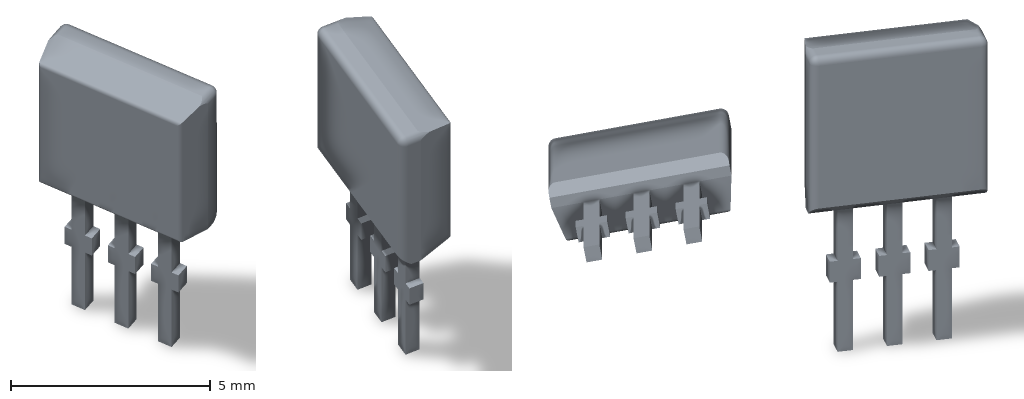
import cadquery as cq
import math

total_height = 8.71
body_width = 4.58
body_height = 4.53
body_depth = 1.55
rear_depth = 0.57
front_depth = body_depth - rear_depth
draft_angle = 12.0
front_edge_radius = 0.105
corner_radius = 0.2
bottom_bevel_depth = 0.3
bottom_bevel_height = 0.27

lead_count = 3
lead_pitch = 1.27
lead_thickness = 0.4
shoulder_width = 0.8
shoulder_bottom = 1.995
shoulder_height = 0.59

body_bottom = total_height - body_height
body_middle = total_height - body_height / 2
lead_top = body_bottom + 2 * lead_thickness * math.tan(math.radians(draft_angle))


def box(width, depth, height, x_center, y_min, z_min):
    """Box centred on x_center that starts at y_min and z_min."""
    return cq.Workplane("XY").box(width, depth, height, centered=(True, False, False)).translate(
        (x_center, y_min, z_min)
    )


def rear_half():
    """Straight-sided half with rounded top corners and a rounded rear rim."""
    half = box(body_width, rear_depth, body_height, 0, 0, body_bottom)
    half = half.edges("|Y and >Z").fillet(corner_radius)
    half = half.faces(">Y").edges("not <Z").fillet(corner_radius)
    bevel = (
        cq.Workplane("YZ")
        .moveTo(rear_depth, body_bottom)
        .lineTo(rear_depth - bottom_bevel_depth, body_bottom)
        .lineTo(rear_depth, body_bottom + bottom_bevel_height)
        .close()
        .extrude(body_width / 2, both=True)
    )
    return half.cut(bevel)


def front_half():
    """Drafted half with a rounded front rim, trimmed by the top corner rounds."""
    half = (
        cq.Workplane("XZ", origin=(0, 0, body_middle))
        .rect(body_width, body_height)
        .extrude(front_depth, taper=draft_angle)
    )
    half = half.faces("<Y").edges().fillet(front_edge_radius)
    envelope = box(body_width, front_depth, body_height, 0, -front_depth, body_bottom)
    envelope = envelope.edges("|Y and >Z").fillet(corner_radius)
    return half.intersect(envelope)


def lead(x_center):
    """Square lead with a wider shoulder."""
    pin = box(lead_thickness, lead_thickness, lead_top, x_center, -lead_thickness, 0)
    shoulder = box(
        shoulder_width, lead_thickness, shoulder_height, x_center, -lead_thickness, shoulder_bottom
    )
    return pin.union(shoulder)


result = rear_half().union(front_half())
for index in range(lead_count):
    result = result.union(lead((index - (lead_count - 1) / 2) * lead_pitch))